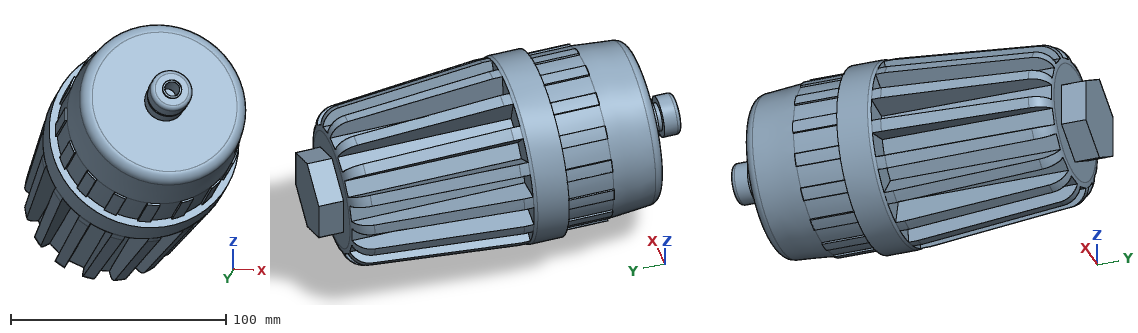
import cadquery as cq
import math

TOTAL_LENGTH = 180.0
DRAFT_SLOPE = math.tan(math.radians(5))
RIB_COUNT = 16
RIB_STEP = 360 / RIB_COUNT

TIP_RING_DIAMETER = 9.0
TIP_RING_HEIGHT = 0.7
BORE_DIAMETER = 7.0
BORE_DEPTH = 10.0
HEAD_DIAMETER = 19.8
HEAD_FILLET = 2.0
GROOVE_DIAMETER = 13.5
GROOVE_START = 9.2
GROOVE_END = 11.7
NECK_DIAMETER = 18.9

CAP_START = 18.0
CAP_FILLET = 5.0
BAND_START = 43.5
BAND_RADIUS = 41.2

PAD_RADIUS = 42.1
PAD_WIDTH = 6.1

COLLAR_START = 66.5
COLLAR_RADIUS = 45.0
COLLAR_BEVEL_START = 81.7
GRIP_START = 83.3
GRIP_RADIUS = 44.5
TAPER_START = 87.8
GRIP_END = 168.0
GRIP_FILLET = 10.0
SLOT_FLOOR_WIDTH = 7.7
SLOT_WALL_SLOPE = math.tan(math.radians(7.5))
SLOT_MOUTH_RADIUS = 46.8
SLOT_FLOOR_RADIUS = 30.6

HEX_SIDES = 6
HEX_ACROSS_FLATS = 36.4


def section(station):
    """Sketch plane across the axis; extruding from it runs toward the rear."""
    return cq.Workplane("XZ", origin=(0, station - TOTAL_LENGTH / 2, 0))


def cylinder(diameter, start, end):
    """Cylinder on the axis between two stations, start being nearer the front tip."""
    return section(start).circle(diameter / 2).extrude(start - end)


def turned(points):
    """Revolve a (radius, station) half outline about the Y axis."""
    outline = [(radius, station - TOTAL_LENGTH / 2) for radius, station in points]
    return cq.Workplane("XY").polyline(outline).close().revolve(360, (0, 0), (0, 1))


def around_axis(shape, index):
    """Copy of a shape turned about the axis by a whole number of rib steps."""
    return shape.rotate((0, 0, 0), (0, 1, 0), index * RIB_STEP)


def make_nipple():
    """Grooved round nipple with a raised ring and a blind bore at its tip."""
    head = cylinder(HEAD_DIAMETER, TIP_RING_HEIGHT, GROOVE_START)
    head = head.faces("<Y").edges().fillet(HEAD_FILLET)
    tip_ring = cylinder(TIP_RING_DIAMETER, 0, GROOVE_START)
    groove = cylinder(GROOVE_DIAMETER, GROOVE_START, GROOVE_END)
    neck = cylinder(NECK_DIAMETER, GROOVE_END, CAP_START)
    bore = cylinder(BORE_DIAMETER, 0, BORE_DEPTH)
    return head.union(tip_ring).union(groove).union(neck).cut(bore)


def make_cap():
    """Drafted cap with a rounded front edge, and the plain band behind it."""
    face_radius = BAND_RADIUS - (BAND_START - CAP_START) * DRAFT_SLOPE
    cap = turned([
        (0, CAP_START),
        (face_radius, CAP_START),
        (BAND_RADIUS, BAND_START),
        (BAND_RADIUS, COLLAR_START),
        (0, COLLAR_START),
    ])
    return cap.faces("<Y").edges().fillet(CAP_FILLET)


def make_grip():
    """Tapered grip; flat-floored slots with flared walls leave ribs between them."""
    end_radius = GRIP_RADIUS - (GRIP_END - TAPER_START) * DRAFT_SLOPE
    grip = turned([
        (0, GRIP_START),
        (GRIP_RADIUS, GRIP_START),
        (GRIP_RADIUS, TAPER_START),
        (end_radius, GRIP_END),
        (0, GRIP_END),
    ])
    grip = grip.faces(">Y").edges().fillet(GRIP_FILLET)
    half_floor = SLOT_FLOOR_WIDTH / 2
    half_mouth = half_floor + (SLOT_MOUTH_RADIUS - SLOT_FLOOR_RADIUS) * SLOT_WALL_SLOPE
    slot = (
        section(GRIP_START)
        .polyline([
            (-half_floor, SLOT_FLOOR_RADIUS),
            (half_floor, SLOT_FLOOR_RADIUS),
            (half_mouth, SLOT_MOUTH_RADIUS),
            (-half_mouth, SLOT_MOUTH_RADIUS),
        ])
        .close()
        .extrude(GRIP_START - GRIP_END)
    )
    for index in range(RIB_COUNT):
        grip = grip.cut(around_axis(slot, index))
    return grip


def make_collar():
    """Widest ring of the part, with a slight bevel down to the grip."""
    return turned([
        (0, COLLAR_START),
        (COLLAR_RADIUS, COLLAR_START),
        (COLLAR_RADIUS, COLLAR_BEVEL_START),
        (GRIP_RADIUS, GRIP_START),
        (0, GRIP_START),
    ])


def make_hexagon():
    """Hexagon with flats facing +X and -X and corners on the Z axis."""
    half_sector = 180 / HEX_SIDES
    corner_diameter = HEX_ACROSS_FLATS / math.cos(math.radians(half_sector))
    hexagon = section(GRIP_END).polygon(HEX_SIDES, corner_diameter).extrude(GRIP_END - TOTAL_LENGTH)
    return hexagon.rotate((0, 0, 0), (0, 1, 0), half_sector)


def make_pads():
    """Shallow raised pads with rounded tops, one in line with each grip slot."""
    bar = (
        section(BAND_START)
        .center(0, PAD_RADIUS / 2)
        .rect(PAD_WIDTH, PAD_RADIUS + PAD_WIDTH)
        .extrude(BAND_START - COLLAR_START)
    )
    pad = bar.intersect(cylinder(2 * PAD_RADIUS, BAND_START, COLLAR_START))
    return [around_axis(pad, index) for index in range(RIB_COUNT)]


result = make_nipple()
for body in (make_cap(), make_collar(), make_grip(), make_hexagon()):
    result = result.union(body)
for raised_pad in make_pads():
    result = result.union(raised_pad)